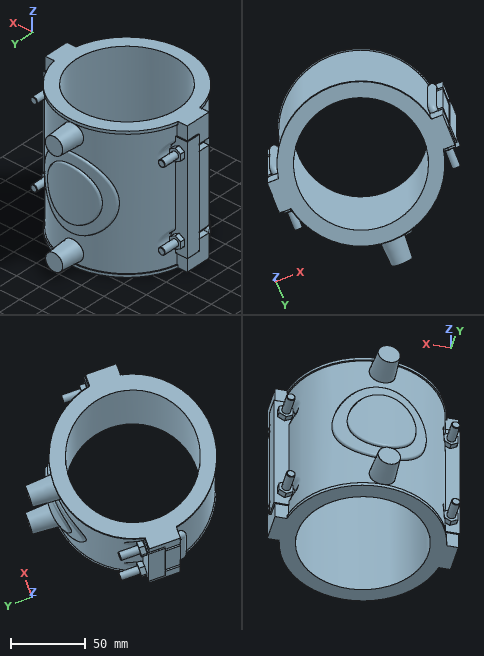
import cadquery as cq
height = 118.0
overall_depth = 130
bore_radius = 45.0
wall = 10.0
body_radius = bore_radius + wall
lip_radius = body_radius + 1.0
lip_height = 2.5

ear_reach = 63.0
ear_thickness = 11.0
sheet = 0.98
cover_half_height = 47.0
cover_reach = ear_reach + sheet
cover_top = ear_thickness + sheet

bolt_diameter = 6.0
bolt_radius = bolt_diameter / 2
bolt_x = 56.7
leg_z = 35.4
bolt_tip_y = 29.9
bolt_tip_chamfer = 0.4
bend_radius = 3.2
bend_y = -ear_thickness
bar_y = bend_y - bend_radius
bar_half_length = leg_z - bend_radius
nut_corners = 11.2
nut_thickness = 4.0

scoop_radius = 7.3
scoop_rounding = 4.5

disc_radii = (32.2, 23.5)
disc_step = 2.0
disc_rounding = 1.3

nipple_z = 46.9
nipple_root_y = bore_radius + wall / 2
nipple_tip_y = overall_depth - lip_radius
nipple_root_radius = 9.2
nipple_tip_radius = 7.7


def cylinder_z(radius, length):
    base = cq.Workplane("XY", origin=(0, 0, -length / 2))
    return base.circle(radius).extrude(length)


def rod_y(radius, x, z, start_y, end_y):
    base = cq.Workplane("XZ", origin=(x, start_y, z))
    return base.circle(radius).extrude(start_y - end_y)


def make_sleeve():
    lip_z = (height - lip_height) / 2
    lip = cylinder_z(lip_radius, lip_height).translate((0, 0, lip_z))
    return cylinder_z(body_radius, height).union(lip).union(lip.mirror("XY"))


def make_scoops():
    """Hollows beside the nuts: each is a hole along Y grazing the sleeve, with a rounded rim."""
    body = cylinder_z(body_radius, height).rotate((0, 0, 0), (0, 0, 1), 90)
    grazed = body.cut(rod_y(scoop_radius, bolt_x, leg_z, -body_radius, body_radius))
    rim_zone = cq.selectors.BoxSelector(
        (bore_radius, -bore_radius, 0),
        (body_radius, bore_radius, height / 2 - lip_height),
    )
    grazed = grazed.edges(rim_zone).edges("not(|Y or |Z)").fillet(scoop_rounding)
    kept_side = cq.Workplane("XY", origin=(0, ear_thickness / 2, 0)).box(
        2 * body_radius, body_radius, height, centered=(True, False, True)
    )
    scoop = body.cut(grazed).intersect(kept_side)
    pair = scoop.union(scoop.mirror("XY"))
    return pair.union(pair.mirror("YZ"))


def make_ears():
    """Ears as one bar across the sleeve, with open slots for the bolt legs on the -Y half."""
    ears = cq.Workplane("XY").box(2 * ear_reach, 2 * ear_thickness, height)
    cover = cq.Workplane("XY").box(
        2 * cover_reach, cover_top, 2 * cover_half_height, centered=(True, False, True)
    )
    ears = ears.union(cover)
    slot_length = cover_reach - bolt_x
    slot_x = bolt_x + slot_length / 2
    slot = cq.Workplane("XY").box(slot_length, ear_thickness, bolt_diameter)
    for side in (-1, 1):
        for z in (-leg_z, leg_z):
            ears = ears.cut(slot.translate((side * slot_x, -ear_thickness / 2, z)))
    return ears


def make_saddle_disc(radius, crown_radius):
    """Disc with its axis along Y and an outer face concentric with the sleeve."""
    crown = cylinder_z(crown_radius, height)
    disc = rod_y(radius, 0, 0, bore_radius / 2, crown_radius).intersect(crown)
    return disc.faces(">Y").edges().fillet(disc_rounding)


def make_nipple(z):
    root = cq.Workplane("XZ", origin=(0, nipple_root_y, z)).circle(nipple_root_radius)
    return root.workplane(offset=nipple_root_y - nipple_tip_y).circle(nipple_tip_radius).loft()


def make_bolt_leg(x, z):
    """Leg with a chamfered tip, and the hexagon nut seated on the cover."""
    leg = rod_y(bolt_radius, x, z, bend_y, bolt_tip_y).faces(">Y").chamfer(bolt_tip_chamfer)
    nut = cq.Workplane("XZ", origin=(x, cover_top, z)).transformed(rotate=(0, 0, 90))
    return leg.union(nut.polygon(6, nut_corners).extrude(-nut_thickness))


def make_u_bolt(x):
    bar = cylinder_z(bolt_radius, 2 * bar_half_length).translate((x, bar_y, 0))
    bend_start = cq.Workplane("XZ", origin=(x, bend_y, leg_z)).circle(bolt_radius)
    bend = bend_start.revolve(90, (-1.3, -bend_radius, 0), (1.3, -bend_radius, 0))
    bolt = bar.union(bend).union(bend.mirror("XY"))
    for z in (-leg_z, leg_z):
        bolt = bolt.union(make_bolt_leg(x, z))
    return bolt


result = make_sleeve().cut(make_scoops()).union(make_ears())
for layer, disc_radius in enumerate(disc_radii, start=1):
    result = result.union(make_saddle_disc(disc_radius, body_radius + layer * disc_step))
for end in (-1, 1):
    result = result.union(make_nipple(end * nipple_z))
result = result.cut(cylinder_z(bore_radius, height))
for side in (-1, 1):
    result = result.union(make_u_bolt(side * bolt_x))